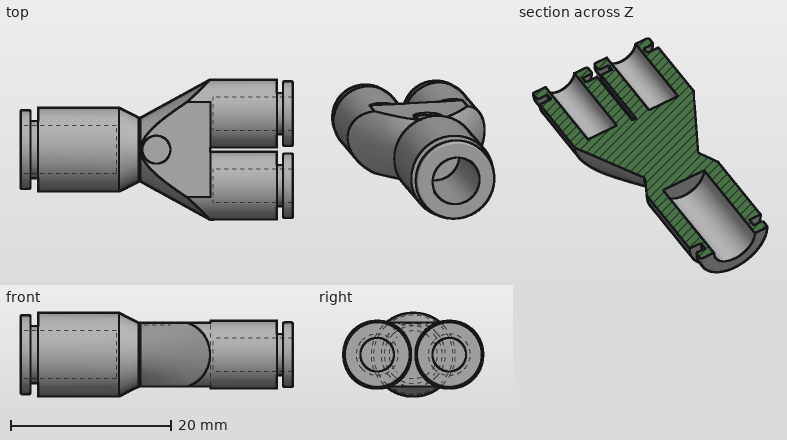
import cadquery as cq

total_length = 34.0
large_collar_end = 1.25
main_start = 2.2
main_end = 12.3
taper_end = 14.75
waist_end = 15.0
flare_end = 23.65
junction_end = 23.7
branch_end = 32.0
small_collar_start = 32.75

main_radius = 5.25
large_collar_radius = 4.95
large_sleeve_radius = 3.6
large_bore_radius = 3.0
large_bore_depth = 12.0

branch_radius = 4.25
branch_offset = 4.5
small_collar_radius = 4.05
small_sleeve_radius = 2.6
small_bore_radius = 2.1
small_bore_depth = 10.0

waist_radius = 4.0
junction_thickness = 8.0
junction_radius = branch_offset + branch_radius

collar_rounding = 0.25

recess_radius = 1.75
recess_center_x = 16.95
recess_depth = 0.3


def cylinder(radius, start, end, offset=0.0):
    """Cylinder along X from start to end, shifted in Y by offset."""
    return cq.Workplane("YZ", origin=(start, offset, 0)).circle(radius).extrude(end - start)


def collar(radius, start, end, offset=0.0):
    """Release collar: a disc with both rims rounded."""
    return cylinder(radius, start, end, offset).edges("%CIRCLE").fillet(collar_rounding)


def make_main_socket():
    """Large socket: barrel, taper and waist, with its sleeve and collar."""
    barrel = (
        cq.Workplane("XY")
        .moveTo(main_start, 0)
        .lineTo(main_start, main_radius)
        .lineTo(main_end, main_radius)
        .lineTo(taper_end, waist_radius)
        .lineTo(waist_end, waist_radius)
        .lineTo(waist_end, 0)
        .close()
        .revolve(360, (0, 0, 0), (1, 0, 0))
    )
    sleeve = cylinder(large_sleeve_radius, large_collar_end / 2, main_start)
    return barrel.union(sleeve).union(collar(large_collar_radius, 0, large_collar_end))


def make_junction():
    """Flared cone trimmed to a flat-topped oblong that wraps both branches."""
    flare_slope = (junction_radius - waist_radius) / (flare_end - waist_end)
    cone_end_radius = waist_radius + flare_slope * (junction_end - waist_end)
    cone = (
        cq.Workplane("XZ")
        .moveTo(waist_end, 0)
        .lineTo(waist_end, waist_radius)
        .lineTo(junction_end, cone_end_radius)
        .lineTo(junction_end, 0)
        .close()
        .revolve(360, (0, 0, 0), (1, 0, 0))
    )
    length = junction_end - waist_end
    oblong = (
        cq.Workplane("YZ", origin=(waist_end, 0, 0))
        .slot2D(2 * junction_radius, 2 * branch_radius)
        .extrude(length)
    )
    slab = (
        cq.Workplane("YZ", origin=(waist_end, 0, 0))
        .rect(2 * junction_radius, junction_thickness)
        .extrude(length)
    )
    return cone.intersect(oblong).intersect(slab)


def make_branch(offset):
    """Small socket: barrel, sleeve and collar."""
    barrel = cylinder(branch_radius, junction_end, branch_end, offset)
    sleeve_end = (small_collar_start + total_length) / 2
    sleeve = cylinder(small_sleeve_radius, branch_end, sleeve_end, offset)
    small_collar = collar(small_collar_radius, small_collar_start, total_length, offset)
    return barrel.union(sleeve).union(small_collar)


def make_recess():
    """Shallow disc removed from the upper flat."""
    floor = junction_thickness / 2 - recess_depth
    return cq.Workplane("XY", origin=(recess_center_x, 0, floor)).circle(recess_radius).extrude(recess_depth)


result = make_main_socket().union(make_junction())
branch_offsets = (-branch_offset, branch_offset)
for branch_y in branch_offsets:
    result = result.union(make_branch(branch_y))

small_bore_start = total_length - small_bore_depth
result = result.cut(cylinder(large_bore_radius, 0, large_bore_depth))
for branch_y in branch_offsets:
    result = result.cut(cylinder(small_bore_radius, small_bore_start, total_length, branch_y))

result = result.cut(make_recess())